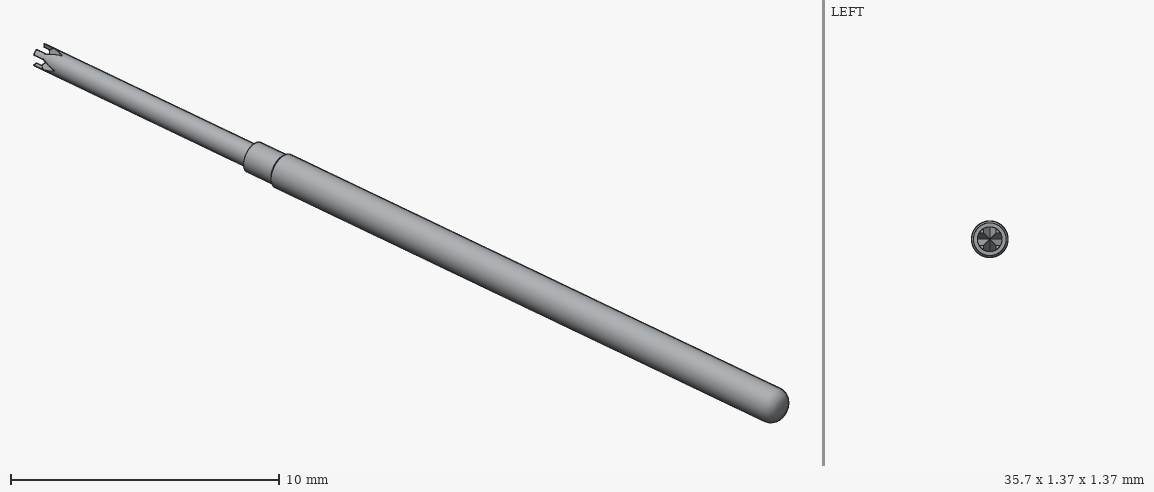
import cadquery as cq

TOTAL_LENGTH = 35.65
BARREL_DIAMETER = 1.37
COLLAR_DIAMETER = 1.22
PLUNGER_DIAMETER = 0.92
PLUNGER_RADIUS = PLUNGER_DIAMETER / 2

COLLAR_START = 10.25
BARREL_START = 11.56
BARREL_REAR_RADIUS = 0.50
BARREL_FRONT_CHAMFER = (BARREL_DIAMETER - COLLAR_DIAMETER) / 2

CROWN_POINTS = 4
SLOT_HALF_WIDTH = 0.23
SLOT_DEPTH_AT_AXIS = 0.43
SLOT_DEPTH_AT_RIM = 1.05
V_HEIGHT = 0.50


def make_body():
    """Revolve the stepped plunger, collar and barrel, with the barrel rounded at the rear."""
    collar_radius = COLLAR_DIAMETER / 2
    barrel_radius = BARREL_DIAMETER / 2
    profile = (
        cq.Workplane("XY")
        .lineTo(0, PLUNGER_RADIUS)
        .lineTo(COLLAR_START, PLUNGER_RADIUS)
        .lineTo(COLLAR_START, collar_radius)
        .lineTo(BARREL_START, collar_radius)
        .lineTo(BARREL_START + BARREL_FRONT_CHAMFER, barrel_radius)
        .lineTo(TOTAL_LENGTH - BARREL_REAR_RADIUS, barrel_radius)
        .radiusArc((TOTAL_LENGTH, barrel_radius - BARREL_REAR_RADIUS), BARREL_REAR_RADIUS)
        .lineTo(TOTAL_LENGTH, 0)
        .close()
    )
    return profile.revolve(360, (0, 0, 0), (1, 0, 0))


def make_slot():
    """Make the cutter for one slot, running from the axis out in the +Y direction."""
    bottom_slope = (SLOT_DEPTH_AT_RIM - SLOT_DEPTH_AT_AXIS) / PLUNGER_RADIUS
    outer_y = PLUNGER_DIAMETER
    front_x = -PLUNGER_RADIUS

    def section(y):
        bottom_x = SLOT_DEPTH_AT_AXIS + bottom_slope * y
        wall_x = bottom_x - V_HEIGHT
        corners = [
            (bottom_x, y, 0),
            (wall_x, y, SLOT_HALF_WIDTH),
            (front_x, y, SLOT_HALF_WIDTH),
            (front_x, y, -SLOT_HALF_WIDTH),
            (wall_x, y, -SLOT_HALF_WIDTH),
        ]
        return cq.Wire.makePolygon([cq.Vector(*corner) for corner in corners], close=True)

    return cq.Workplane(cq.Solid.makeLoft([section(0), section(outer_y)], True))


def cut_crown(body):
    """Cut the slots around the axis, leaving the crown points between them."""
    slot = make_slot()
    for index in range(CROWN_POINTS):
        angle = index * 360 / CROWN_POINTS
        body = body.cut(slot.rotate((0, 0, 0), (1, 0, 0), angle))
    return body


result = cut_crown(make_body())